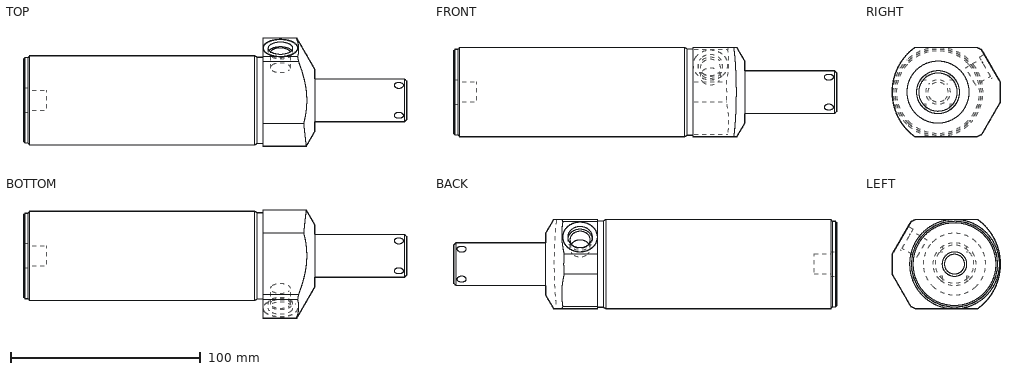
import cadquery as cq
import math

total_length = 202.0
body_end = 121.8
neck_taper_end = 123.0
head_start = 126.0
head_end = 153.5

body_radius = 23.6
neck_radius = 22.8
cap_radius = 22.6
cap_face_radius = 21.8
cap_chamfer_length = 0.8
cap_length = 2.5
cap_taper_end = 3.2

head_half_height = body_radius
head_front = -24.2
head_back = 33.0
round_start = -12.1
shoulder_start = 20.5
shoulder_end = 23.0
back_half_height = 5.3
face_angle = 60.0
head_face_radius = 16.4
head_cone_angle = 60.0

rod_radius = 11.3
rod_chamfer = 1.2
dimple_radius = 2.5
dimple_depth = 2.5
dimple_inset = 4.2

port_x = 135.4
port_y = 27.7
port_radius = 6.5
port_entry_depth = 3.0
port_bore_radius = 5.3
port_depth = 12.1
spotface_radius = 9.0
spotface_depth = 0.2


def revolve_profile(points):
    """Revolve (axial position, radius) points about the X axis."""
    return cq.Workplane("XY").polyline(points).close().revolve(360, (0, 0, 0), (1, 0, 0))


def make_barrel():
    return revolve_profile([
        (0, 0),
        (0, cap_face_radius),
        (cap_chamfer_length, cap_radius),
        (cap_length, cap_radius),
        (cap_taper_end, body_radius),
        (body_end, body_radius),
        (neck_taper_end, neck_radius),
        (head_start, neck_radius),
        (head_start, 0),
    ])


def make_head():
    shoulder_half_height = back_half_height + (head_back - shoulder_end) * math.tan(math.radians(face_angle))
    prism = (
        cq.Workplane("YZ", origin=(head_start, 0, 0))
        .moveTo(round_start, head_half_height)
        .lineTo(shoulder_start, head_half_height)
        .lineTo(shoulder_end, shoulder_half_height)
        .lineTo(head_back, back_half_height)
        .lineTo(head_back, -back_half_height)
        .lineTo(shoulder_end, -shoulder_half_height)
        .lineTo(shoulder_start, -head_half_height)
        .lineTo(round_start, -head_half_height)
        .threePointArc((head_front, 0), (round_start, head_half_height))
        .close()
        .extrude(head_end - head_start)
    )
    cone_base_radius = head_face_radius + (head_end - head_start) * math.tan(math.radians(head_cone_angle))
    cone = revolve_profile([
        (head_start, 0),
        (head_start, cone_base_radius),
        (head_end, head_face_radius),
        (head_end, 0),
    ])
    return prism.intersect(cone)


def make_rod():
    rod = (
        cq.Workplane("YZ", origin=(head_start, 0, 0))
        .circle(rod_radius)
        .extrude(total_length - head_start)
        .faces(">X").chamfer(rod_chamfer)
    )
    dimple_profile = [
        (0, rod_radius - dimple_depth),
        (0, rod_radius),
        (dimple_radius, rod_radius),
    ]
    dimple = (
        cq.Workplane("XZ")
        .polyline(dimple_profile).close()
        .revolve(360, (0, 0, 0), (0, 1, 0))
        .translate((total_length - dimple_inset, 0, 0))
    )
    for angle in (45, 135, 225, 315):
        rod = rod.cut(dimple.rotate((0, 0, 0), (1, 0, 0), angle))
    return rod


def stepped_port(plane):
    """Port bore with a wider entry, sunk along the plane's normal."""
    entry = cq.Workplane(plane).circle(port_radius).extrude(port_entry_depth)
    bore = cq.Workplane(plane).circle(port_bore_radius).extrude(port_depth)
    return entry.union(bore)


def make_side_port():
    slope = math.radians(face_angle)
    port_z = back_half_height + (head_back - port_y) * math.tan(slope)
    inward = (0, -math.sin(slope), -math.cos(slope))
    plane = cq.Plane(origin=(port_x, port_y, port_z), xDir=(1, 0, 0), normal=inward)
    spotface = cq.Workplane(plane).circle(spotface_radius).extrude(spotface_depth)
    return stepped_port(plane).union(spotface)


result = make_barrel().union(make_head()).union(make_rod())
result = result.cut(stepped_port(cq.Plane.YZ()))
result = result.cut(make_side_port())